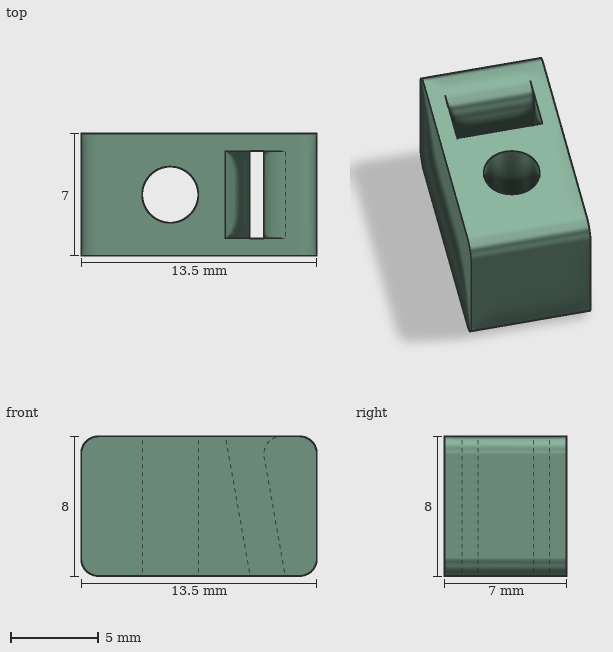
import cadquery as cq
import math

length = 13.5
width = 7.0
height = 8.0
corner_radius = 1.0

hole_diameter = 3.2
hole_x = -1.65

slot_width = 5.0
mouth_left = 1.5
mouth_right = 4.7
lip_radius = 1.0
slot_run = 1.42

top = height / 2
bottom = -top


def make_block():
    block = cq.Workplane("XY").box(length, width, height)
    return block.edges("|Y").fillet(corner_radius)


def make_hole():
    return cq.Workplane("XY").center(hole_x, 0).circle(hole_diameter / 2).extrude(top, both=True)


def make_slot():
    """Parallel slanted walls, the right one rounded over into the top face."""
    slant = math.atan2(slot_run, height)
    lip_center_z = top - lip_radius

    def lip_point(angle):
        """Point on the lip, at an angle measured from its top towards the slot."""
        x = mouth_right - lip_radius * math.sin(angle)
        return (x, lip_center_z + lip_radius * math.cos(angle))

    lip_sweep = math.pi / 2 + slant
    lip_end_x, lip_end_z = lip_point(lip_sweep)
    right_foot_x = lip_end_x + (lip_end_z - bottom) * math.tan(slant)
    profile = (
        cq.Workplane("XZ")
        .moveTo(mouth_left, top)
        .lineTo(mouth_right, top)
        .threePointArc(lip_point(lip_sweep / 2), (lip_end_x, lip_end_z))
        .lineTo(right_foot_x, bottom)
        .lineTo(mouth_left + slot_run, bottom)
        .close()
    )
    return profile.extrude(slot_width / 2, both=True)


result = make_block().cut(make_hole()).cut(make_slot())